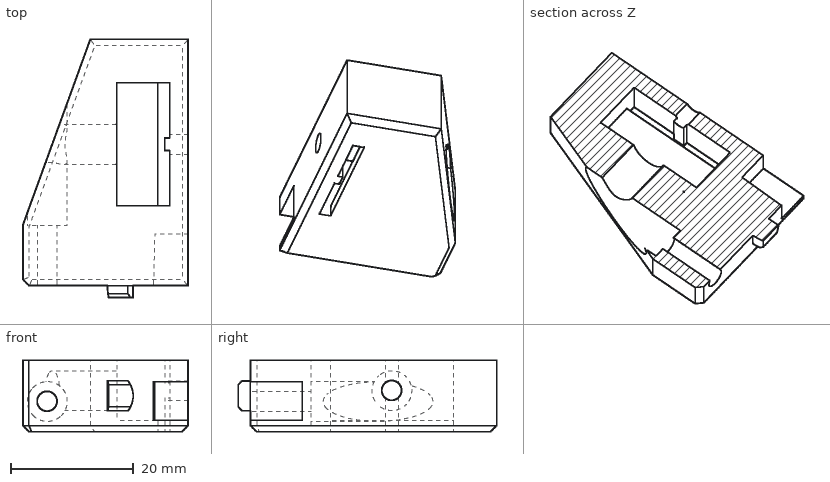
import cadquery as cq

width = 27.0
height = 11.7
total_length = 42.2
tab_length = 2.0
body_length = total_length - tab_length
back_left = 11.0
slant_start = 9.87
edge_chamfer = 1.0

pocket_left = 15.3
pocket_right = 23.95
pocket_front = 13.05
pocket_back = 33.1
pocket_floor = 1.9
slit_left = 22.05
rib_width = 2.05
rib_depth = 0.8

hole_diameter = 3.2
bore_diameter = 6.5
long_hole_x = 3.95
long_hole_z = 5.0
cross_hole_y = (pocket_front + pocket_back) / 2
cross_hole_z = 6.75

slot_left = 21.3
slot_top = 8.2
slot_depth = 8.45
wall_taper = 0.2

tab_left = 13.8
tab_shoulder = 17.18
tab_tip = 18.0
tab_bottom = 3.4
tab_top = 8.3
tab_chamfer = 0.65


def box(x0, x1, y0, y1, z0, z1):
    return cq.Workplane("XY").box(x1 - x0, y1 - y0, z1 - z0, centered=False).translate((x0, y0, z0))


def cylinder_y(diameter, start, end):
    """Cylinder on the lengthwise hole axis, from Y = start to Y = end."""
    return cq.Workplane(
        cq.Solid.makeCylinder(
            diameter / 2, end - start, cq.Vector(long_hole_x, start, long_hole_z), cq.Vector(0, 1, 0)
        )
    )


def cylinder_x(diameter, end):
    """Cylinder on the cross hole axis, from the left side to X = end."""
    return cq.Workplane(
        cq.Solid.makeCylinder(
            diameter / 2, end, cq.Vector(0, cross_hole_y, cross_hole_z), cq.Vector(1, 0, 0)
        )
    )


def make_body():
    outline = [
        (0, 0),
        (width, 0),
        (width, body_length),
        (back_left, body_length),
        (0, slant_start),
    ]
    body = cq.Workplane("XY").polyline(outline).close().extrude(height)
    body = body.edges(cq.selectors.NearestToPointSelector((0, 0, height / 2))).chamfer(edge_chamfer)
    return body.faces("<Z").chamfer(edge_chamfer)


def make_pocket():
    pocket = box(pocket_left, pocket_right, pocket_front, pocket_back, pocket_floor, height)
    slit = box(slit_left, pocket_right, pocket_front, pocket_back, 0, height)
    rib = box(
        pocket_right - rib_depth,
        pocket_right,
        cross_hole_y - rib_width / 2,
        cross_hole_y + rib_width / 2,
        0,
        height,
    )
    return pocket.union(slit).cut(rib)


def make_slot():
    outline = [
        (slot_left, 0),
        (width, 0),
        (width, slot_depth),
        (slot_left + wall_taper, slot_depth),
    ]
    slot = cq.Workplane("XY").workplane(offset=pocket_floor).polyline(outline).close()
    return slot.extrude(slot_top - pocket_floor)


def make_tab():
    end_profile = (
        cq.Workplane("XZ")
        .moveTo(tab_left, tab_bottom)
        .lineTo(tab_shoulder, tab_bottom)
        .threePointArc((tab_tip, (tab_bottom + tab_top) / 2), (tab_shoulder, tab_top))
        .lineTo(tab_left, tab_top)
        .close()
        .extrude(tab_length)
    )
    side_outline = [
        (0, tab_bottom),
        (tab_chamfer - tab_length, tab_bottom),
        (-tab_length, tab_bottom + tab_chamfer),
        (-tab_length, tab_top - tab_chamfer),
        (tab_chamfer - tab_length, tab_top),
        (0, tab_top),
    ]
    side_profile = cq.Workplane("YZ").polyline(side_outline).close().extrude(width)
    sliver = (
        cq.Workplane("XY")
        .moveTo(tab_left, 0)
        .threePointArc(
            (tab_left + wall_taper / 4, -tab_length / 2),
            (tab_left + wall_taper, -tab_length),
        )
        .lineTo(tab_left, -tab_length)
        .close()
        .extrude(height)
    )
    return end_profile.intersect(side_profile).cut(sliver)


result = (
    make_body()
    .cut(make_pocket())
    .cut(make_slot())
    .cut(cylinder_y(hole_diameter, 0, body_length))
    .cut(cylinder_y(bore_diameter, slant_start, body_length))
    .cut(cylinder_x(hole_diameter, width))
    .cut(cylinder_x(bore_diameter, pocket_left))
    .union(make_tab())
)